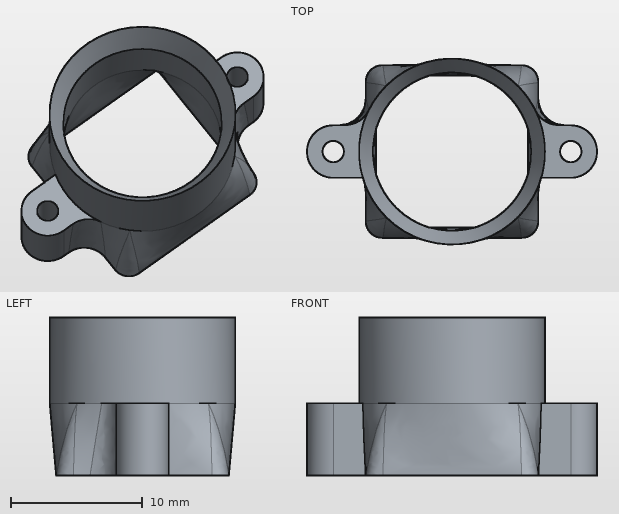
import cadquery as cq
import math


base_width = 13.1
base_corner_radius = 1.3
wall = 0.8
base_height = 5.5
total_height = 12.0
barrel_radius = 7.05
bore_radius = 6.0
lead_in_depth = 2.0
tab_radius = 2.0
tab_hole_diameter = 1.6
tab_hole_offset = 9.0
web_fillet_radius = 2.0


def quartered_circle(radius, height):
    """Circle split at 45 degrees, so its joints line up with the corners of a square."""
    corner = radius * math.sqrt(0.5)
    return (
        cq.Workplane("XY", origin=(0, 0, height))
        .moveTo(-corner, -corner)
        .threePointArc((0, -radius), (corner, -corner))
        .threePointArc((radius, 0), (corner, corner))
        .threePointArc((0, radius), (-corner, corner))
        .threePointArc((-radius, 0), (-corner, -corner))
        .close()
        .val()
    )


def square_to_round(width, radius):
    """Solid blending from a sharp square at Z = 0 to a circle at the base height."""
    half = width / 2
    corners = [(-half, -half), (half, -half), (half, half), (-half, half)]
    square = cq.Workplane("XY").polyline(corners).close().val()
    return cq.Workplane(cq.Solid.makeLoft([square, quartered_circle(radius, base_height)]))


def tabs():
    """Round-ended bar through the foot; its two ends become the screw tabs."""
    length = 2 * (tab_hole_offset + tab_radius)
    return cq.Workplane("XY").slot2D(length, 2 * tab_radius).extrude(base_height)


def base():
    """Foot with rounded corners, plus the tabs blended into it on the +Y side only."""
    foot = square_to_round(base_width, barrel_radius)
    foot = foot.edges("not(<Z or >Z)").fillet(base_corner_radius)
    body = foot.union(tabs())
    tab_joints = cq.selectors.BoxSelector(
        (-barrel_radius, 0, 0), (barrel_radius, 2 * tab_radius, base_height)
    )
    return body.edges("not(<Z or >Z)").edges(tab_joints).fillet(web_fillet_radius)


def barrel():
    """Round barrel standing on the base."""
    return (
        cq.Workplane("XY", origin=(0, 0, base_height))
        .circle(barrel_radius)
        .extrude(total_height - base_height)
    )


def opening():
    """Through opening: square inlet, round bore and conical mouth."""
    inlet = square_to_round(base_width - 2 * wall, bore_radius)
    mouth_start = total_height - lead_in_depth
    profile = [
        (0, base_height),
        (bore_radius, base_height),
        (bore_radius, mouth_start),
        (barrel_radius, total_height),
        (0, total_height),
    ]
    bore = cq.Workplane("XZ").polyline(profile).close().revolve(360, (0, 0), (0, 1))
    return inlet.union(bore)


def screw_holes():
    """Vertical hole through each tab."""
    return (
        cq.Workplane("XY")
        .pushPoints([(-tab_hole_offset, 0), (tab_hole_offset, 0)])
        .circle(tab_hole_diameter / 2)
        .extrude(base_height)
    )


result = base().union(barrel()).cut(opening()).cut(screw_holes())